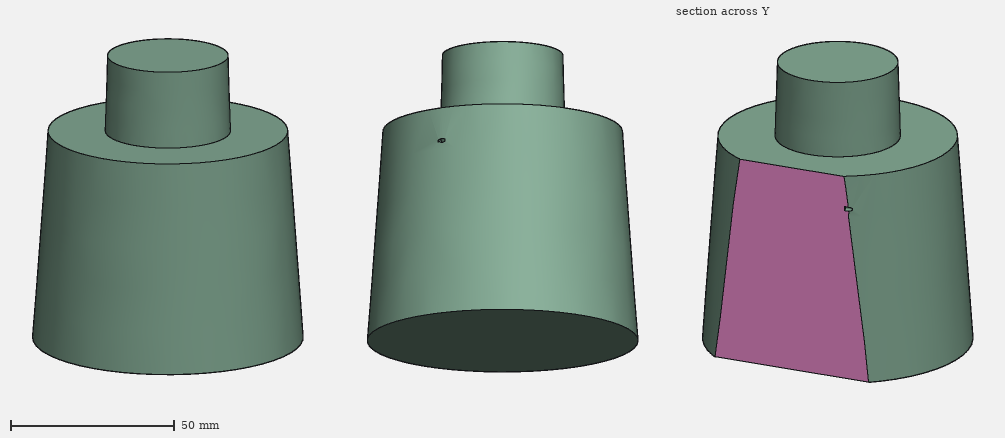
import cadquery as cq

total_height = 89.8
body_height = 65.8
base_diameter = 83.0
shoulder_diameter = 73.5
neck_bottom_diameter = 38.4
neck_top_diameter = 37.0

pinhole_diameter = 1.2
pinhole_y = 32.1
pinhole_z = 55.3
pinhole_floor_x = -18.0

half_profile = (
    cq.Workplane("XZ")
    .lineTo(base_diameter / 2, 0)
    .lineTo(shoulder_diameter / 2, body_height)
    .lineTo(neck_bottom_diameter / 2, body_height)
    .lineTo(neck_top_diameter / 2, total_height)
    .lineTo(0, total_height)
    .close()
)

turned_body = half_profile.revolve(360, (0, 0, 0), (0, 1, 0))

pinhole = (
    cq.Workplane("YZ", origin=(-base_diameter / 2, pinhole_y, pinhole_z))
    .circle(pinhole_diameter / 2)
    .extrude(base_diameter / 2 + pinhole_floor_x)
)

result = turned_body.cut(pinhole)